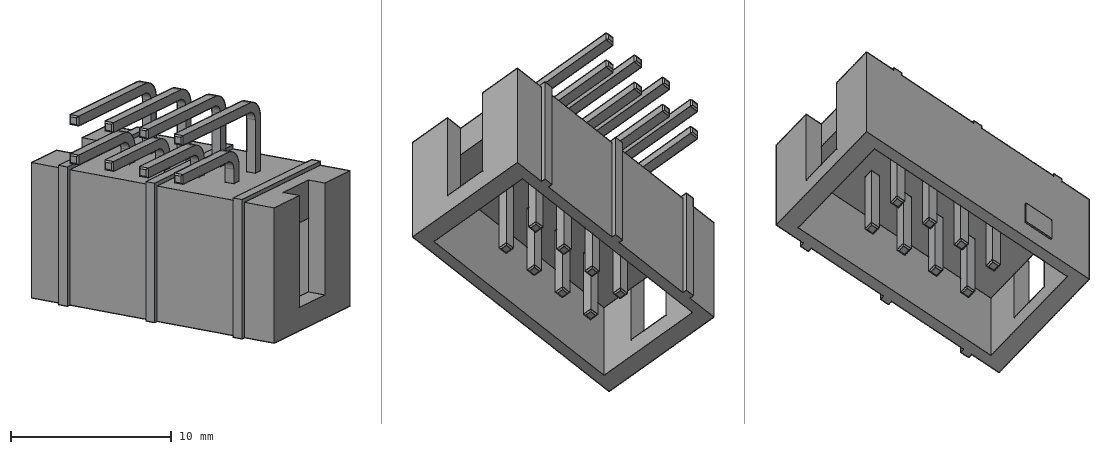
import cadquery as cq
import math

housing_length = 17.76
housing_width = 9.0
housing_height = 8.84
end_wall = 1.2
side_wall = 0.7
cavity_depth = 6.34

slot_width = 3.0
slot_floor = 1.54

rib_width = 0.64
top_rib_height = 0.26
front_rib_height = 0.3
rib_pitch = 6.385
rib_count = 3

mark_size = 2.05
mark_height = 0.1
mark_x = -4.78
mark_z = 2.6

pitch = 2.54
column_count = 4
pin_width = 0.64
bend_radius = 1.5 * pin_width
tip_chamfer = 0.1
pin_top = 13.6
pin_overhang = 3.2
pin_bottom = 0.5

front_y = -housing_width / 2
rear_y = housing_width / 2
pin_front = front_y - pin_overhang
pin_columns = [(i - (column_count - 1) / 2) * pitch for i in range(column_count)]
rear_row = (pitch / 2, pin_top - pin_width / 2)
front_row = (-pitch / 2, rear_row[1] - pitch)


def box(x_size, y_size, z_size, x, y, z):
    """Box centred on x, starting at y and z."""
    corner = (x - x_size / 2, y, z)
    return cq.Workplane(cq.Solid.makeBox(x_size, y_size, z_size, cq.Vector(*corner)))


def make_housing():
    body = box(housing_length, housing_width, housing_height, 0, front_y, 0)

    cavity_length = housing_length - 2 * end_wall
    cavity_width = housing_width - 2 * side_wall
    body = body.cut(box(cavity_length, cavity_width, cavity_depth, 0, -cavity_width / 2, 0))

    for side in (-1, 1):
        slot_x = side * (housing_length - end_wall) / 2
        slot_height = housing_height - slot_floor
        body = body.cut(box(end_wall, slot_width, slot_height, slot_x, -slot_width / 2, slot_floor))

    for i in range(rib_count):
        rib_x = (i - (rib_count - 1) / 2) * rib_pitch
        top_rib = box(rib_width, housing_width + front_rib_height, top_rib_height,
                      rib_x, front_y - front_rib_height, housing_height)
        front_rib = box(rib_width, front_rib_height, housing_height, rib_x, front_y - front_rib_height, 0)
        body = body.union(top_rib).union(front_rib)

    body = body.union(box(mark_size, mark_height, mark_size, mark_x, rear_y, mark_z - mark_size / 2))

    roof = housing_height - cavity_depth
    for x in pin_columns:
        for y, _ in (rear_row, front_row):
            body = body.cut(box(pin_width, pin_width, roof, x, y - pin_width / 2, cavity_depth))
    return body


def make_pin(x, y, z):
    """Pin rising at (x, y) and bending forward to run at height z, with both tips tapered."""
    arc_offset = bend_radius * (1 - math.sqrt(0.5))
    path = (
        cq.Workplane("YZ", origin=(x, 0, 0))
        .moveTo(y, pin_bottom)
        .lineTo(y, z - bend_radius)
        .threePointArc((y - arc_offset, z - arc_offset), (y - bend_radius, z))
        .lineTo(pin_front, z)
    )
    pin = cq.Workplane("XY", origin=(x, y, pin_bottom)).rect(pin_width, pin_width).sweep(path)
    return pin.faces("<Y").chamfer(tip_chamfer).faces("<Z").chamfer(tip_chamfer)


housing = make_housing()
pins = [make_pin(x, y, z).val() for y, z in (rear_row, front_row) for x in pin_columns]

result = cq.Compound.makeCompound([housing.val(), *pins])